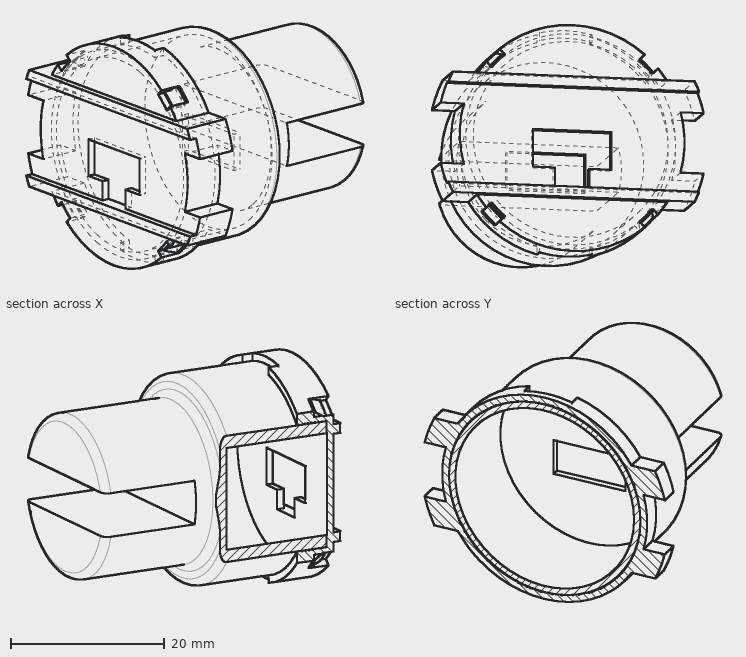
import cadquery as cq
import math

TOTAL_WIDTH = 35.1
TOTAL_LENGTH = 35.0
CAP_DIAMETER = 30.0
PLUG_DIAMETER = 28.0
STEM_DIAMETER = 22.0
WALL = (CAP_DIAMETER - PLUG_DIAMETER) / 2

PLUG_RADIUS = PLUG_DIAMETER / 2
STEM_RADIUS = STEM_DIAMETER / 2
PLUG_FRONT = WALL
SHOULDER_Y = 17.0
STEM_END = TOTAL_LENGTH - WALL
CAVITY_RADIUS = PLUG_RADIUS - WALL
CAVITY_FLOOR = SHOULDER_Y - WALL
SLOT_FLOOR = 20.5
SLOT_HEIGHT = 5.9

CAP_RADIUS = CAP_DIAMETER / 2
CAP_DEPTH = 5.5
BAR_INNER_Z = 4.0
BAR_TIP_RADIUS = math.hypot(TOTAL_WIDTH / 2, BAR_INNER_Z)
BAR_OUTER_Z = 2 * BAR_INNER_Z
RIB_INNER_Z = 6.65
NOTCH_WIDTH = 7.0
NOTCH_FRONT = 4.0

KEY_WIDTH = 10.45
KEY_TOP_Z = WALL
KEY_BOTTOM_Z = -BAR_INNER_Z
CHANNEL_WIDTH = 4.65
POCKET_FLOOR = CAVITY_FLOOR + WALL

SNAP_ANGLES = (45, 135, 225, 315)
SNAP_WIDTH = 2.5
SNAP_REAR = 3.0
TOOTH_LAND = 0.265
TOOTH_TIP_RADIUS = CAP_RADIUS - 0.1
TOOTH_FRONT_RADIUS = PLUG_RADIUS + 0.2
TOOTH_ROOT_RADIUS = PLUG_RADIUS - WALL / 2


def cylinder(radius, y_start, y_end):
    """Solid cylinder on the Y axis."""
    return cq.Workplane("XZ", origin=(0, y_start, 0)).circle(radius).extrude(y_start - y_end)


def block(x_min, x_max, y_min, y_max, z_min, z_max):
    """Box given by its limits along each axis."""
    size = (x_max - x_min, y_max - y_min, z_max - z_min)
    return cq.Workplane("XY").box(*size, centered=False).translate((x_min, y_min, z_min))


def key_window(y_start, y_end):
    """Block with the outline of the key window."""
    return block(-KEY_WIDTH / 2, KEY_WIDTH / 2, y_start, y_end, KEY_BOTTOM_Z, KEY_TOP_Z)


def snap_block(angle, y_start, y_end):
    """Radial block across the rim, from inside the plug wall to beyond the cap."""
    half_width = SNAP_WIDTH / 2
    bar = block(TOOTH_ROOT_RADIUS, CAP_RADIUS + WALL, y_start, y_end, -half_width, half_width)
    return bar.rotate((0, 0, 0), (0, 1, 0), angle)


def make_snap_teeth():
    """Ring of ramped profile, kept only at the four snap positions."""
    ring = (
        cq.Workplane("XY")
        .moveTo(TOOTH_ROOT_RADIUS, PLUG_FRONT)
        .lineTo(TOOTH_FRONT_RADIUS, PLUG_FRONT)
        .lineTo(TOOTH_TIP_RADIUS, SNAP_REAR - TOOTH_LAND)
        .lineTo(TOOTH_TIP_RADIUS, SNAP_REAR)
        .lineTo(TOOTH_ROOT_RADIUS, SNAP_REAR)
        .close()
        .revolve(360, (0, 0, 0), (0, 1, 0))
    )
    return [ring.intersect(snap_block(angle, PLUG_FRONT, SNAP_REAR)) for angle in SNAP_ANGLES]


def make_plug():
    arc_mid = WALL * (1 - math.sqrt(0.5))
    body = (
        cq.Workplane("XY")
        .moveTo(0, CAVITY_FLOOR)
        .lineTo(CAVITY_RADIUS, CAVITY_FLOOR)
        .lineTo(CAVITY_RADIUS, PLUG_FRONT)
        .lineTo(PLUG_RADIUS, PLUG_FRONT)
        .lineTo(PLUG_RADIUS, SHOULDER_Y - WALL)
        .threePointArc((PLUG_RADIUS - arc_mid, SHOULDER_Y - arc_mid), (PLUG_RADIUS - WALL, SHOULDER_Y))
        .lineTo(STEM_RADIUS + WALL, SHOULDER_Y)
        .threePointArc((STEM_RADIUS + arc_mid, SHOULDER_Y + arc_mid), (STEM_RADIUS, SHOULDER_Y + WALL))
        .lineTo(STEM_RADIUS, STEM_END - WALL)
        .threePointArc((STEM_RADIUS - arc_mid, STEM_END - arc_mid), (STEM_RADIUS - WALL, STEM_END))
        .lineTo(0, STEM_END)
        .close()
        .revolve(360, (0, 0, 0), (0, 1, 0))
    )
    for tooth in make_snap_teeth():
        body = body.union(tooth)

    body = body.cut(key_window(CAVITY_FLOOR, POCKET_FLOOR))

    slot = block(-STEM_RADIUS, STEM_RADIUS, SLOT_FLOOR, STEM_END, -SLOT_HEIGHT / 2, SLOT_HEIGHT / 2)
    return body.cut(slot)


def make_crossbars():
    """Pair of bars with rounded ends, each with a rib standing out in front."""
    tips = cylinder(BAR_TIP_RADIUS, -WALL, CAP_DEPTH)
    reach = BAR_TIP_RADIUS
    upper = block(-reach, reach, 0, CAP_DEPTH, BAR_INNER_Z, BAR_OUTER_Z)
    upper = upper.union(block(-reach, reach, -WALL, CAP_DEPTH, RIB_INNER_Z, BAR_OUTER_Z))
    return upper.union(upper.mirror("XY")).intersect(tips)


def make_cap():
    cap = cylinder(CAP_RADIUS, 0, CAP_DEPTH).union(make_crossbars())

    cap = cap.cut(cylinder(PLUG_RADIUS, PLUG_FRONT, CAP_DEPTH))

    half_channel = CHANNEL_WIDTH / 2
    cap = cap.cut(key_window(0, PLUG_FRONT))
    cap = cap.cut(block(-half_channel, half_channel, 0, PLUG_FRONT, -RIB_INNER_Z, KEY_BOTTOM_Z))

    half_notch = NOTCH_WIDTH / 2
    cap = cap.cut(block(-half_notch, half_notch, NOTCH_FRONT, CAP_DEPTH, -CAP_RADIUS, CAP_RADIUS))

    core = cylinder(PLUG_RADIUS, 0, SNAP_REAR)
    for angle in SNAP_ANGLES:
        cap = cap.cut(snap_block(angle, 0, SNAP_REAR).cut(core))
    return cap


plug = make_plug()
cap = make_cap()

result = cq.Compound.makeCompound([plug.val(), cap.val()])